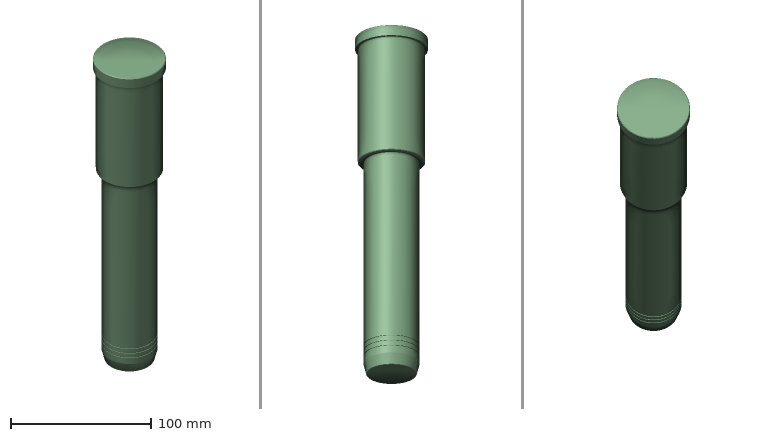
import cadquery as cq

total_length = 260.0

head_diameter = 52.0
head_thickness = 8.0
head_chamfer = 0.5

body_diameter = 48.0
body_bottom_z = 164.0
body_chamfer = 0.5

shank_diameter = 40.0

tip_height = 8.0
tip_chamfer = 0.3
tip_diameter = 36.0

groove_width = 0.8
groove_depth = 0.5
lowest_groove_z = 13.3
groove_pitch = 4.0
groove_count = 3

head_bottom_z = total_length - head_thickness


def cylinder(diameter, bottom_z, top_z):
    """Upright cylinder on the part axis."""
    return cq.Workplane("XY").workplane(offset=bottom_z).circle(diameter / 2).extrude(top_z - bottom_z)


def make_tip():
    """Cone that widens from the chamfered flat end up to the shank."""
    return (
        cq.Workplane("XZ")
        .lineTo(tip_diameter / 2, 0)
        .lineTo(shank_diameter / 2, tip_height)
        .lineTo(0, tip_height)
        .close()
        .revolve(360, (0, 0, 0), (0, 1, 0))
        .faces("<Z")
        .edges()
        .chamfer(tip_chamfer)
    )


def make_groove(diameter, bottom_z):
    """Ring of material to remove from a cylinder of the given diameter."""
    outer = cylinder(diameter, bottom_z, bottom_z + groove_width)
    core = cylinder(diameter - 2 * groove_depth, bottom_z, bottom_z + groove_width)
    return outer.cut(core)


head = cylinder(head_diameter, head_bottom_z, total_length).faces(">Z").edges().chamfer(head_chamfer)
body = cylinder(body_diameter, body_bottom_z, head_bottom_z).faces("<Z").edges().chamfer(body_chamfer)
shank = cylinder(shank_diameter, tip_height, body_bottom_z)

result = head.union(body).union(shank).union(make_tip())

result = result.cut(make_groove(body_diameter, head_bottom_z - groove_width))
result = result.cut(make_groove(shank_diameter, body_bottom_z - groove_width))

for index in range(groove_count):
    result = result.cut(make_groove(shank_diameter, lowest_groove_z + index * groove_pitch))